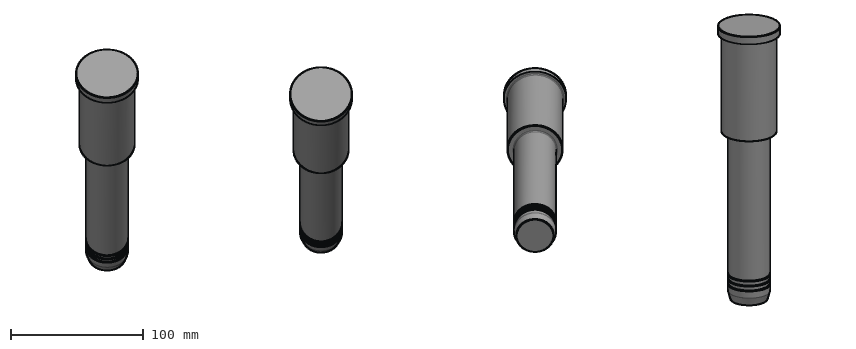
import math

import cadquery as cq

total_length = 221.0
flange_diameter = 47.0
sleeve_diameter = 42.0
shank_diameter = 32.0

flange_thickness = 6.2
sleeve_length = 79.8

tip_height = 7.0
tip_angle = 15.0
tip_chamfer = 0.55

flange_chamfer = 0.53
sleeve_chamfer = 0.7
corner_fillet = 0.7

groove_count = 3
groove_width = 0.9
groove_depth = 0.5
groove_pitch = 4.0
first_groove_bottom = 12.2

flange_radius = flange_diameter / 2
sleeve_radius = sleeve_diameter / 2
shank_radius = shank_diameter / 2
tip_radius = shank_radius - (tip_height - tip_chamfer) * math.tan(math.radians(tip_angle))
flange_bottom = total_length - flange_thickness
sleeve_bottom = flange_bottom - sleeve_length


def make_body():
    """Revolve the half outline of the pin around the Z axis."""
    outline = (
        cq.Workplane("XZ")
        .moveTo(0, 0)
        .lineTo(tip_radius - tip_chamfer, 0)
        .lineTo(tip_radius, tip_chamfer)
        .lineTo(shank_radius, tip_height)
        .lineTo(shank_radius, sleeve_bottom - corner_fillet)
        .tangentArcPoint((shank_radius + corner_fillet, sleeve_bottom), relative=False)
        .lineTo(sleeve_radius - sleeve_chamfer, sleeve_bottom)
        .lineTo(sleeve_radius, sleeve_bottom + sleeve_chamfer)
        .lineTo(sleeve_radius, flange_bottom - corner_fillet)
        .tangentArcPoint((sleeve_radius + corner_fillet, flange_bottom), relative=False)
        .lineTo(flange_radius, flange_bottom)
        .lineTo(flange_radius, total_length - flange_chamfer)
        .lineTo(flange_radius - flange_chamfer, total_length)
        .lineTo(0, total_length)
        .close()
    )
    return outline.revolve(360, (0, 0, 0), (0, 1, 0))


def make_groove_cutter(bottom):
    """Ring whose bore is the floor of one shallow groove around the shank."""
    return (
        cq.Workplane("XY", origin=(0, 0, bottom))
        .circle(sleeve_radius)
        .circle(shank_radius - groove_depth)
        .extrude(groove_width)
    )


result = make_body()
for index in range(groove_count):
    result = result.cut(make_groove_cutter(first_groove_bottom + index * groove_pitch))